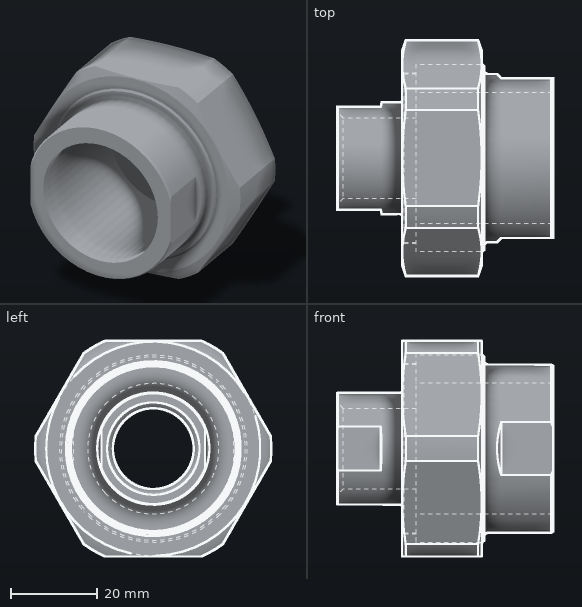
import cadquery as cq
import math


total_length = 50.0
nut_start = 15.0
nut_end = 33.45
lip_thickness = 3.3
joint_x = nut_start + lip_thickness
collar_end = 34.0

across_flats = 50.0
corner_diameter = 54.7
nut_face_diameter = 49.55
nut_bevel_length = 0.9
lip_bore_diameter = 39.5
lip_bevel = 0.5
nut_bore_diameter = 43.35

tail_diameter = 26.0
tail_bore_diameter = 18.65
tail_mouth_diameter = 21.4
tail_edge_length = 0.2
tail_edge_depth = 0.15
tail_root_radius = 0.4
tail_collar_diameter = 39.0
tail_collar_bevel = 0.45
tail_flat_span = 23.9
tail_flat_length = 10.05
tail_flat_runout = 0.2

end_diameter = 39.0
end_bore_diameter = 30.3
end_edge_length = 0.5
end_edge_depth = 0.35
end_root_radius = 0.9
end_collar_bevel = 0.45
end_flat_span = 37.0
end_flat_length = 12.05
end_flat_runout = (end_diameter - end_flat_span) / 2


def turn(profile):
    """Revolve a closed (x, radius) profile about the X axis."""
    return profile.close().revolve(360, (0, 0, 0), (1, 0, 0))


def cylinder(start, end, diameter):
    """Round solid on the X axis."""
    return cq.Workplane("YZ", origin=(start, 0, 0)).circle(diameter / 2).extrude(end - start)


def cut_flats(body, diameter, span, open_x, flat_end, runout):
    """Cut wrench flats on +Y and -Y from open_x to flat_end, each ending in a sloped runout."""
    direction = math.copysign(1, flat_end - open_x)
    surface = diameter / 2
    for side in (1, -1):
        cutter = (
            cq.Workplane("XY", origin=(0, 0, -surface))
            .moveTo(open_x, side * span / 2)
            .lineTo(flat_end, side * span / 2)
            .lineTo(flat_end + direction * runout, side * surface)
            .lineTo(flat_end + direction * runout, side * diameter)
            .lineTo(open_x, side * diameter)
            .close()
            .extrude(diameter)
        )
        body = body.cut(cutter)
    return body


def make_tailpiece():
    """Small pipe end with a collar that fills the nut's lip."""
    outer = tail_diameter / 2
    bore = tail_bore_diameter / 2
    mouth = tail_mouth_diameter / 2
    collar = tail_collar_diameter / 2
    root = tail_root_radius
    arc_offset = root * (1 - math.sqrt(0.5))
    body = turn(
        cq.Workplane("XY")
        .moveTo(0, mouth)
        .lineTo(0, outer - tail_edge_depth)
        .lineTo(tail_edge_length, outer)
        .lineTo(nut_start - root, outer)
        .threePointArc((nut_start - arc_offset, outer + arc_offset), (nut_start, outer + root))
        .lineTo(nut_start, collar - tail_collar_bevel)
        .lineTo(nut_start + tail_collar_bevel, collar)
        .lineTo(joint_x, collar)
        .lineTo(joint_x, bore)
        .lineTo(mouth - bore, bore)
    )
    return cut_flats(body, tail_diameter, tail_flat_span, 0, tail_flat_length, tail_flat_runout)


def make_nut():
    """Hexagonal nut with rounded corners, beveled faces and an inner lip."""
    hexagon_diameter = across_flats / math.cos(math.pi / 6)
    face = nut_face_diameter / 2
    corner = corner_diameter / 2
    hexagon = (
        cq.Workplane("YZ", origin=(nut_start, 0, 0))
        .polygon(6, hexagon_diameter)
        .extrude(nut_end - nut_start)
    )
    envelope = turn(
        cq.Workplane("XY")
        .moveTo(nut_start, 0)
        .lineTo(nut_start, face)
        .lineTo(nut_start + nut_bevel_length, corner)
        .lineTo(nut_end - nut_bevel_length, corner)
        .lineTo(nut_end, face)
        .lineTo(nut_end, 0)
    )
    lip = lip_bore_diameter / 2
    opening = turn(
        cq.Workplane("XY")
        .moveTo(nut_start, 0)
        .lineTo(nut_start, lip + lip_bevel)
        .lineTo(nut_start + lip_bevel, lip)
        .lineTo(joint_x, lip)
        .lineTo(joint_x, 0)
    )
    main_bore = cylinder(joint_x, nut_end, nut_bore_diameter)
    return hexagon.intersect(envelope).cut(opening).cut(main_bore)


def make_end_piece():
    """Large pipe end whose collar fills the main bore of the nut."""
    outer = end_diameter / 2
    bore = end_bore_diameter / 2
    collar = nut_bore_diameter / 2
    root = end_root_radius
    arc_offset = root * (1 - math.sqrt(0.5))
    body = turn(
        cq.Workplane("XY")
        .moveTo(joint_x, bore)
        .lineTo(joint_x, collar)
        .lineTo(collar_end - end_collar_bevel, collar)
        .lineTo(collar_end, collar - end_collar_bevel)
        .lineTo(collar_end, outer + root)
        .threePointArc((collar_end + arc_offset, outer + arc_offset), (collar_end + root, outer))
        .lineTo(total_length - end_edge_length, outer)
        .lineTo(total_length, outer - end_edge_depth)
        .lineTo(total_length, bore)
    )
    flat_end = total_length - end_flat_length
    return cut_flats(body, end_diameter, end_flat_span, total_length, flat_end, end_flat_runout)


tailpiece = make_tailpiece()
nut = make_nut()
end_piece = make_end_piece()

result = cq.Compound.makeCompound([tailpiece.val(), nut.val(), end_piece.val()])